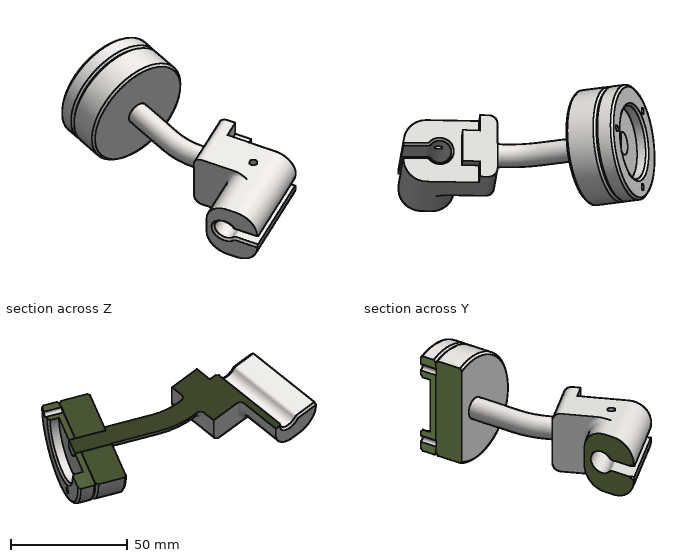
import cadquery as cq
import math

base_radius = 25.0
edge_chamfer = 1.0
ring_length = 8.0
base_length = 22.0
recess_radius = 16.0
recess_depth = 5.0
screw_circle_radius = 19.9
screw_hole_radius = 1.4
screw_hole_count = 3

rod_radius = 5.0
key_flat_offset = 2.7
bend_start_x = 43.7
bend_radius = 35.0
bend_angle = 25
rod_end_straight = 4.0
rod_fillet = 2.0

head_height = 28.0
plate_half_width = 13.0
plate_thickness = 7.6
plate_corner_radius = 4.0
tab_end = 15.1
tab_tip_height = 14.0
tab_flare_angle = 5
block_back = 5.0
barrel_start = 16.1
barrel_end = 40.1
barrel_length = 40.0
barrel_corner_radius = 10.0
barrel_fillet = 2.0
socket_offset = 24.5
socket_radius = 5.0
socket_lip_radius = 2.0
slot_width = 5.0
mouth_chamfer = 1.0
set_screw_radius = 1.7
set_screw_offset = -5.0

bend_rise = bend_radius * (1 - math.cos(math.radians(bend_angle)))
bend_run = bend_radius * math.sin(math.radians(bend_angle))
barrel_front = block_back - barrel_length


def axial_cylinder(radius, start, length):
    """Cylinder along +X, centred on the X axis."""
    return cq.Workplane("YZ", origin=(start, 0, 0)).circle(radius).extrude(length)


def key_section(start):
    """D-shaped section of the rod's keyed end, on a plane across X."""
    half_flat = math.sqrt(rod_radius**2 - key_flat_offset**2)
    return (
        cq.Workplane("YZ", origin=(start, 0, 0))
        .moveTo(key_flat_offset, -half_flat)
        .lineTo(key_flat_offset, half_flat)
        .threePointArc((-rod_radius, 0), (key_flat_offset, -half_flat))
        .close()
    )


def make_ring():
    """Front ring with a recess, three screw holes and the keyed hole for the rod."""
    ring = axial_cylinder(base_radius, 0, ring_length).faces("<X or >X").chamfer(edge_chamfer)
    ring = ring.cut(axial_cylinder(recess_radius, 0, recess_depth))
    recess_edge = cq.selectors.RadiusNthSelector(0)
    ring = ring.faces("<X").edges("%CIRCLE").edges(recess_edge).chamfer(edge_chamfer)
    holes = (
        cq.Workplane("YZ")
        .polarArray(screw_circle_radius, 0, 360, screw_hole_count)
        .circle(screw_hole_radius)
        .extrude(ring_length)
    )
    return ring.cut(holes).cut(key_section(0).extrude(ring_length))


def make_disc():
    """Disc behind the ring, keyed to the rod."""
    length = base_length - ring_length
    disc = axial_cylinder(base_radius, ring_length, length).faces("<X or >X").chamfer(edge_chamfer)
    return disc.cut(key_section(ring_length).extrude(length))


def make_rod():
    """Keyed end, straight length and bend, up to the start of the straight stub in the head."""
    key = key_section(recess_depth).extrude(base_length - recess_depth)
    straight = axial_cylinder(rod_radius, base_length, bend_start_x - base_length)
    bend = (
        cq.Workplane("YZ", origin=(bend_start_x, 0, 0))
        .circle(rod_radius)
        .revolve(bend_angle, (bend_radius, 0, 0), (bend_radius, 1, 0))
    )
    return key.union(straight).union(bend)


def head_box(x_start, x_end, y_start, y_end, height):
    """Box centred on Z = 0 between the given X and Y limits."""
    middle = ((x_start + x_end) / 2, (y_start + y_end) / 2, 0)
    return cq.Workplane("XY").box(x_end - x_start, y_end - y_start, height).translate(middle)


def make_tab():
    """Tab behind the plate, flaring from the block's back face towards its tip."""
    tip = tab_tip_height / 2
    root = tip - (plate_half_width - block_back) * math.tan(math.radians(tab_flare_angle))
    return (
        cq.Workplane("YZ", origin=(plate_thickness, 0, 0))
        .moveTo(block_back, -root)
        .lineTo(plate_half_width, -tip)
        .lineTo(plate_half_width, tip)
        .lineTo(block_back, root)
        .close()
        .extrude(tab_end - plate_thickness)
    )


def make_barrel_with_fillet():
    """Barrel whose foot is filleted into the front face of the block, trimmed to the head's height."""
    barrel = head_box(barrel_start, barrel_end, barrel_front, block_back, head_height)
    barrel = barrel.edges("|Y").fillet(barrel_corner_radius)
    fillet_width = 2 * barrel_fillet
    support = head_box(
        barrel_start - fillet_width,
        barrel_end + fillet_width,
        -plate_half_width,
        block_back,
        head_height + 2 * fillet_width,
    )
    joined = barrel.union(support)
    foot = cq.selectors.BoxSelector(
        (barrel_start - barrel_fillet / 2, -plate_half_width - barrel_fillet / 2, -head_height),
        (barrel_end + barrel_fillet / 2, -plate_half_width + barrel_fillet / 2, head_height),
        boundingbox=True,
    )
    joined = joined.edges(foot).fillet(barrel_fillet)
    trim = head_box(barrel_start - fillet_width, barrel_end, barrel_front, block_back, head_height)
    return joined.intersect(trim.edges("|Y and >X").fillet(barrel_corner_radius))


def make_socket():
    """Space of the round socket and its side slot, joined by rounded lips, along the whole barrel."""
    half_slot = slot_width / 2
    lip_x = math.sqrt((socket_radius + socket_lip_radius) ** 2 - (half_slot + socket_lip_radius) ** 2)
    tangent_share = socket_radius / (socket_radius + socket_lip_radius)
    tangent_x = lip_x * tangent_share
    tangent_z = (half_slot + socket_lip_radius) * tangent_share
    slot_end = barrel_end - socket_offset + mouth_chamfer
    outline = (
        cq.Workplane("XZ", origin=(socket_offset, block_back, 0))
        .moveTo(slot_end, half_slot)
        .lineTo(lip_x, half_slot)
        .tangentArcPoint((tangent_x, tangent_z), relative=False)
        .threePointArc((-socket_radius, 0), (tangent_x, -tangent_z))
        .tangentArcPoint((lip_x, -half_slot), relative=False)
        .lineTo(slot_end, -half_slot)
        .close()
    )
    return outline.extrude(barrel_length)


def make_set_screw_hole():
    """Hole from the top of the block into the socket."""
    return (
        cq.Workplane("XY")
        .center(socket_offset, set_screw_offset)
        .circle(set_screw_radius)
        .extrude(head_height)
    )


def make_head():
    """Plate, tab, block and barrel, with the rod's straight stub filleted into the plate."""
    plate = head_box(0, plate_thickness, -plate_half_width, plate_half_width, head_height)
    plate = plate.edges("|Y and <X").fillet(plate_corner_radius)
    stub = axial_cylinder(rod_radius, -rod_end_straight, rod_end_straight)
    plate = plate.union(stub)
    near_rod = rod_radius + rod_fillet
    stub_foot = cq.selectors.BoxSelector(
        (-rod_fillet / 2, -near_rod, -near_rod),
        (rod_fillet / 2, near_rod, near_rod),
        boundingbox=True,
    )
    plate = plate.edges(stub_foot).fillet(rod_fillet)

    block_end = barrel_end - barrel_corner_radius
    block = head_box(plate_thickness, block_end, -plate_half_width, block_back, head_height)
    head = plate.union(block).union(make_tab()).union(make_barrel_with_fillet())
    head = head.cut(make_socket()).cut(make_set_screw_hole())
    near_socket = socket_radius + mouth_chamfer
    for mouth_y in (barrel_front, block_back):
        mouth = cq.selectors.BoxSelector(
            (socket_offset - near_socket, mouth_y - mouth_chamfer, -near_socket),
            (socket_offset + near_socket, mouth_y + mouth_chamfer, near_socket),
            boundingbox=True,
        )
        head = head.edges(mouth).chamfer(mouth_chamfer)
    return head


def make_arm():
    """Rod and head as one piece, the head turned to the direction in which the bend ends."""
    head = make_head().translate((rod_end_straight, 0, 0))
    head = head.rotate((0, 0, 0), (0, 0, 1), bend_angle)
    return make_rod().union(head.translate((bend_start_x + bend_run, bend_rise, 0)))


ring = make_ring()
disc = make_disc()
arm = make_arm()

result = cq.Compound.makeCompound([ring.val(), disc.val(), arm.val()])